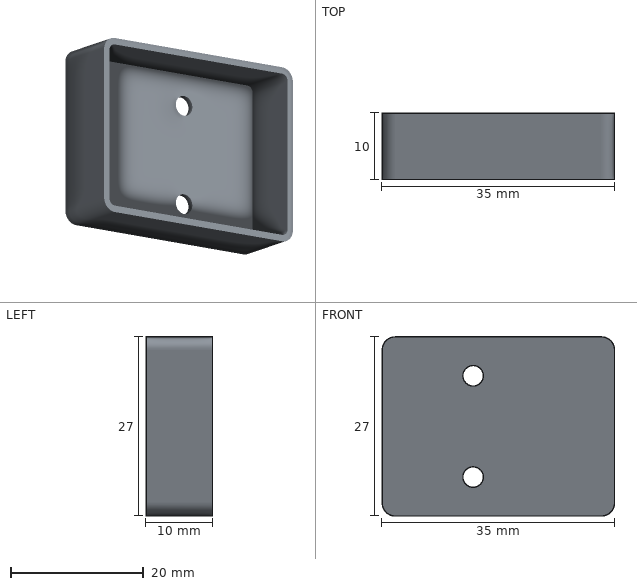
import cadquery as cq

LENGTH = 35.0
DEPTH = 10.0
HEIGHT = 27.0
CORNER_RADIUS = 2.0

WALL = 1.0
INNER_CORNER_RADIUS = CORNER_RADIUS - WALL

HOLE_DIAMETER = 3.05
HOLE_SPACING = 15.24
HOLE_X = -3.8


def rounded_block(length, depth, height, radius, front_y):
    """Block centred on X and Z, running back from front_y, with its Y-direction edges rounded."""
    block = cq.Workplane("XY").box(length, depth, height, centered=(True, False, True))
    return block.edges("|Y").fillet(radius).translate((0, front_y, 0))


def hollow_box():
    """Box with a closed front plate and an open back."""
    outer = rounded_block(LENGTH, DEPTH, HEIGHT, CORNER_RADIUS, 0)
    cavity = rounded_block(
        LENGTH - 2 * WALL,
        DEPTH - WALL,
        HEIGHT - 2 * WALL,
        INNER_CORNER_RADIUS,
        WALL,
    )
    return outer.cut(cavity)


def plate_hole(z):
    """Cylinder that pierces the front plate at height z."""
    centre = cq.Vector(HOLE_X, 0, z)
    along_y = cq.Vector(0, 1, 0)
    return cq.Solid.makeCylinder(HOLE_DIAMETER / 2, WALL, centre, along_y)


result = hollow_box()
for hole_z in (-HOLE_SPACING / 2, HOLE_SPACING / 2):
    result = result.cut(plate_hole(hole_z))